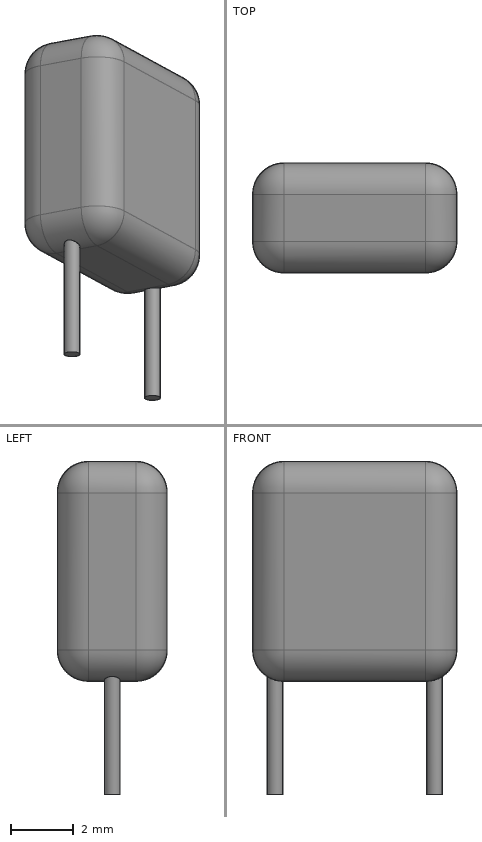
import cadquery as cq

body_width = 6.5
body_depth = 3.5
body_height = 7.0
edge_radius = 1.0

lead_diameter = 0.5
lead_pitch = 5.08
lead_length = 3.6


def make_body():
    block = cq.Workplane("XY").box(
        body_width, body_depth, body_height, centered=(True, True, False)
    )
    return block.edges().fillet(edge_radius)


def make_lead(x, body):
    """Round lead whose top follows the rounded underside of the body."""
    rod = (
        cq.Workplane("XY", origin=(x, 0, -lead_length))
        .circle(lead_diameter / 2)
        .extrude(lead_length + edge_radius)
    )
    return rod.cut(body).solids()


body = make_body()
leads = [make_lead(side * lead_pitch / 2, body) for side in (-1, 1)]

result = cq.Compound.makeCompound([body.val(), *[lead.val() for lead in leads]])